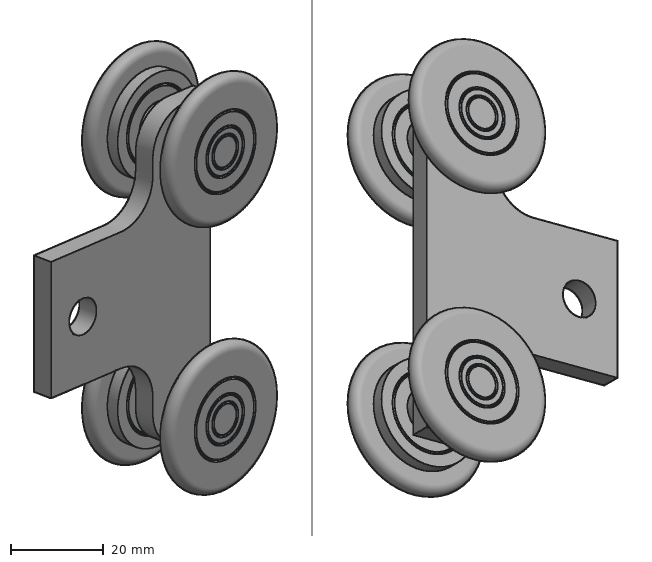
import cadquery as cq

overall_height = 98.0
wheel_diameter = 35.0
wheel_spacing = overall_height - wheel_diameter
overall_width = 27.0
rim_width = 3.9
hub_diameter = 24.9
hub_width = 3.0
axle_diameter = 11.4

outer_face_groove_radii = (3.8, 5.7, 9.3)
inner_face_groove_radius = 9.3
groove_depth = 0.3

plate_thickness = 5.1
plate_length = 50.0
plate_back = 7.0
plate_front = plate_back - plate_length
plate_height = 80.0
tongue_height = 32.1
ear_width = 18.0
ear_radius = 10.0
hole_diameter = 8.5
hole_edge_distance = 10.0

face_x = overall_width / 2
rim_inner_x = face_x - rim_width
hub_inner_x = rim_inner_x - hub_width
axle_heights = (-wheel_spacing / 2, wheel_spacing / 2)


def cylinder_along_x(diameter, start_x, end_x):
    """Disc centred on the X axis between two X positions."""
    return cq.Workplane("YZ", origin=(start_x, 0, 0)).circle(diameter / 2).extrude(end_x - start_x)


def make_plate():
    """T-shaped plate: two ears carry the axles, the tongue carries the hole."""
    ear_front = plate_back - ear_width
    top = plate_height / 2
    tongue_top = tongue_height / 2
    outline = [
        (plate_back, -top),
        (plate_back, top),
        (ear_front, top),
        (ear_front, tongue_top),
        (plate_front, tongue_top),
        (plate_front, -tongue_top),
        (ear_front, -tongue_top),
        (ear_front, -top),
    ]
    plate = (
        cq.Workplane("YZ", origin=(-plate_thickness / 2, 0, 0))
        .polyline(outline)
        .close()
        .extrude(plate_thickness)
    )
    selection_margin = 1.0
    ear_corners = cq.selectors.BoxSelector(
        (-plate_thickness, ear_front - selection_margin, -plate_height),
        (plate_thickness, ear_front + selection_margin, plate_height),
    )
    plate = plate.edges("|X").edges(ear_corners).fillet(ear_radius)
    hole = cylinder_along_x(hole_diameter, -plate_thickness, plate_thickness)
    return plate.cut(hole.translate((0, plate_front + hole_edge_distance, 0)))


def v_groove(centre_x, radius):
    """Ring of diamond section whose buried half cuts a V-groove into a face at centre_x."""
    section = [
        (centre_x - groove_depth, radius),
        (centre_x, radius + groove_depth),
        (centre_x + groove_depth, radius),
        (centre_x, radius - groove_depth),
    ]
    return cq.Workplane("XY").polyline(section).close().revolve(360, (0, 0, 0), (1, 0, 0))


def make_wheel():
    """Wheel on the +X side: round-edged rim, inner hub and grooved faces."""
    rim_radius = wheel_diameter / 2
    flat_radius = rim_radius - rim_width / 2
    rim = (
        cq.Workplane("XY")
        .moveTo(rim_inner_x, 0)
        .lineTo(rim_inner_x, flat_radius)
        .threePointArc((rim_inner_x + rim_width / 2, rim_radius), (face_x, flat_radius))
        .lineTo(face_x, 0)
        .close()
        .revolve(360, (0, 0, 0), (1, 0, 0))
    )
    wheel = rim.union(cylinder_along_x(hub_diameter, hub_inner_x, rim_inner_x))
    for radius in outer_face_groove_radii:
        wheel = wheel.cut(v_groove(face_x, radius))
    return wheel.cut(v_groove(hub_inner_x, inner_face_groove_radius))


def make_wheel_pair():
    """Two mirrored wheels joined by an axle."""
    wheel = make_wheel()
    axle = cylinder_along_x(axle_diameter, -hub_inner_x, hub_inner_x)
    return axle.union(wheel).union(wheel.mirror("YZ"))


result = make_plate()
wheel_pair = make_wheel_pair()
for axle_height in axle_heights:
    result = result.union(wheel_pair.translate((0, 0, axle_height)))